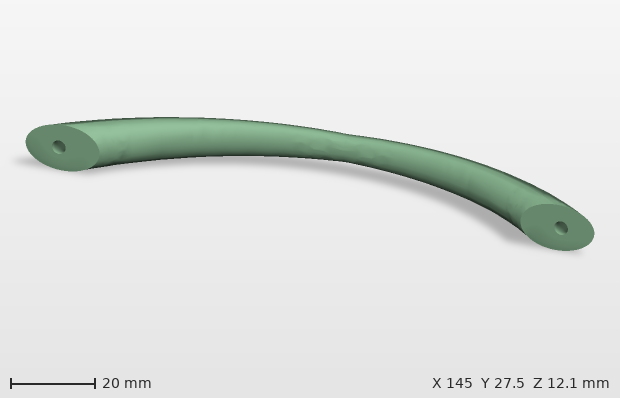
import cadquery as cq
import math

length = 145.0
rise = 27.5
inner_span = 107.3
inner_rise = 21.5
crown_height = 6.8
foot_height = 11.9

hole_spacing = 128.0
hole_diameter = 3.5
hole_depth = 3.6
drill_tip_angle = 118.0

last_section_angle = 52.0
section_count = 6

trim_size = 2 * length


def arc_radius(span, arch_rise):
    """Radius of the circle with this chord and rise."""
    return ((span / 2) ** 2 + arch_rise**2) / (2 * arch_rise)


outer_radius = arc_radius(length, rise)
inner_radius = arc_radius(inner_span, inner_rise)
middle_span = (length + inner_span) / 2
middle_rise = (rise + inner_rise) / 2
middle_radius = arc_radius(middle_span, middle_rise)
middle_center_y = middle_rise - middle_radius


def ray_length(angle, radius, arch_rise):
    """Distance from the middle arc's center to another arc, at an angle from +Y."""
    center_offset = arch_rise - radius - middle_center_y
    across = center_offset * math.sin(angle)
    return center_offset * math.cos(angle) + math.sqrt(radius**2 - across**2)


def section(angle):
    """Elliptical cross-section of the bar, square to the middle arc."""
    outer = ray_length(angle, outer_radius, rise)
    inner = ray_length(angle, inner_radius, inner_rise)
    center = (outer + inner) / 2
    x = center * math.sin(angle)
    y = middle_center_y + center * math.cos(angle)
    taper = x / (middle_span / 2)
    height = crown_height + (foot_height - crown_height) * taper
    plane = cq.Plane(
        origin=(x, y, 0),
        xDir=(math.sin(angle), math.cos(angle), 0),
        normal=(math.cos(angle), -math.sin(angle), 0),
    )
    ellipse = cq.Workplane(plane).ellipse((outer - inner) / 2, height / 2)
    return ellipse.wires().val()


def half_bar():
    """The +X half, lofted from the crown down and cut flat at Y = 0."""
    step = math.radians(last_section_angle) / (section_count - 1)
    wires = [section(i * step) for i in range(section_count)]
    bar = cq.Workplane(cq.Solid.makeLoft(wires))
    below_foot = cq.Workplane().box(trim_size, trim_size, trim_size).translate((0, -trim_size / 2, 0))
    return bar.cut(below_foot)


def screw_hole(x):
    """Drilled hole entering the foot along +Y."""
    radius = hole_diameter / 2
    tip_depth = hole_depth + radius / math.tan(math.radians(drill_tip_angle / 2))
    profile = [(0, 0), (radius, 0), (radius, hole_depth), (0, tip_depth)]
    drill = cq.Workplane("XY").polyline(profile).close().revolve(360, (0, 0), (0, 1))
    return drill.translate((x, 0, 0))


half = half_bar()
result = half.union(half.mirror("YZ"))
for side in (-1, 1):
    result = result.cut(screw_hole(side * hole_spacing / 2))